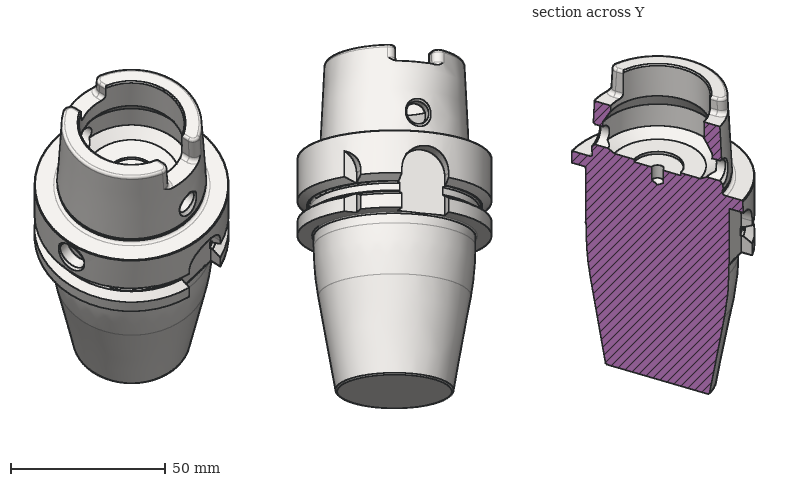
import cadquery as cq
import math

shank_top_z = 31.9
flange_bottom_z = -26.2
tip_z = -79.0

shank_base_radius = 24.2
shank_base_z = 2.05
shank_taper = 1 / 20
shank_rim_round = 1.0
relief_radius = 23.95
relief_top_z = 1.4
relief_bottom_z = 0.7
relief_mouth_radius = 25.3

flange_radius = 31.5
flange_top_chamfer = 0.25
groove_root_radius = 27.5
groove_center_z = -18.0
groove_mouth_half_width = 3.5
groove_flank_angle = 30.0
groove_root_half_width = 1.75
groove_root_round = 0.55

neck_radius = 26.25
neck_round = 0.5
bend_start_z = -29.8
bend_radius = 97.0
nose_taper_angle = 10.0
tip_chamfer = 0.5

bore_radius = 17.05
bore_lip_z = 19.7
clamp_recess_radius = 20.0
clamp_shoulder_angle = 30.0
clamp_recess_bottom_z = 6.2
bore_floor_radius = 15.75
bore_floor_cone_angle = 30.0
bore_rim_chamfer = 0.5
recess_radius = 8.5
recess_depth = 1.0
center_hole_radius = 2.05
center_hole_depth = 5.0
drill_point_angle = 118.0

drive_slot_half_width = 6.25
drive_slot_end_round = 2.4
drive_slot_floor_round = 1.5
drive_slot_depths = {-1: 5.8, 1: 10.0}

cross_hole_radius = 3.8
cross_hole_z = 8.9
cross_hole_sink = 0.95

keyway_radius = 8.0
keyway_center_z = -12.8
keyway_floor_x = 26.5
keyway_runout = 1.0
notch_floor_x = -20.2
notch_wall_y = 20.0

port_radius = 5.0
port_sink_y = -30.65
port_z = -6.9
port_floor_y = -26.8
port_vent_radius = 0.65
port_vent_depth = 3.0

clearance = 5.0
edge_margin = 0.1


def make_body():
    """Solid of revolution: shank, flange and nose."""
    shank_top_radius = shank_base_radius - (shank_top_z - shank_base_z) * shank_taper
    flank_height = groove_mouth_half_width - groove_root_half_width
    flank_end_radius = flange_radius - flank_height / math.tan(math.radians(groove_flank_angle))
    angle = math.radians(nose_taper_angle)

    def root_point(side, fraction):
        """Point on a groove root round, from the root cylinder (0) to the side wall (1)."""
        turn = fraction * math.pi / 2
        radius = groove_root_radius + groove_root_round * (1 - math.cos(turn))
        offset = groove_root_half_width - groove_root_round * (1 - math.sin(turn))
        return radius, groove_center_z + side * offset

    def bend_point(turn):
        """Point on the arc that leads from the neck cylinder into the nose cone."""
        radius = neck_radius - bend_radius * (1 - math.cos(turn))
        return radius, bend_start_z - bend_radius * math.sin(turn)

    bend_end_radius, bend_end_z = bend_point(angle)
    tip_radius = bend_end_radius - (bend_end_z - tip_z) * math.tan(angle)

    fillet_width = relief_mouth_radius - relief_radius
    relief_mid = (
        relief_mouth_radius - fillet_width * math.sin(math.pi / 4),
        relief_bottom_z * (1 - math.sin(math.pi / 4)),
    )
    profile = (
        cq.Workplane("XZ")
        .moveTo(0, shank_top_z)
        .lineTo(shank_top_radius, shank_top_z)
        .lineTo(shank_base_radius, shank_base_z)
        .lineTo(relief_radius, relief_top_z)
        .lineTo(relief_radius, relief_bottom_z)
        .threePointArc(relief_mid, (relief_mouth_radius, 0))
        .lineTo(flange_radius - flange_top_chamfer, 0)
        .lineTo(flange_radius, -flange_top_chamfer)
        .lineTo(flange_radius, groove_center_z + groove_mouth_half_width)
        .lineTo(flank_end_radius, groove_center_z + groove_root_half_width)
        .lineTo(*root_point(1, 1))
        .threePointArc(root_point(1, 0.5), root_point(1, 0))
        .lineTo(*root_point(-1, 0))
        .threePointArc(root_point(-1, 0.5), root_point(-1, 1))
        .lineTo(flank_end_radius, groove_center_z - groove_root_half_width)
        .lineTo(flange_radius, groove_center_z - groove_mouth_half_width)
        .lineTo(flange_radius, flange_bottom_z)
        .lineTo(neck_radius, flange_bottom_z)
        .lineTo(neck_radius, bend_start_z)
        .threePointArc(bend_point(angle / 2), (bend_end_radius, bend_end_z))
        .lineTo(tip_radius, tip_z)
        .lineTo(0, tip_z)
        .close()
    )
    body = profile.revolve(360, (0, 0, 0), (0, 1, 0))
    body = body.faces("<Z").edges().chamfer(tip_chamfer)

    neck_corner = cq.selectors.BoxSelector(
        (-neck_radius - edge_margin, -neck_radius - edge_margin, flange_bottom_z - edge_margin),
        (neck_radius + edge_margin, neck_radius + edge_margin, flange_bottom_z + edge_margin),
        boundingbox=True,
    )
    return body.edges(neck_corner).fillet(neck_round)


def make_bore():
    """Stepped cavity: entry bore, wider clamp recess, conical floor edge, floor recess and drilled hole."""
    shoulder_width = clamp_recess_radius - bore_radius
    shoulder_end_z = bore_lip_z - shoulder_width / math.tan(math.radians(clamp_shoulder_angle))
    floor_cone_width = clamp_recess_radius - bore_floor_radius
    floor_cone_drop = floor_cone_width * math.tan(math.radians(bore_floor_cone_angle))
    bore_floor_z = clamp_recess_bottom_z - floor_cone_drop
    bore_mouth_radius = bore_radius + bore_rim_chamfer
    recess_z = bore_floor_z - recess_depth
    drill_z = recess_z - center_hole_depth
    drill_point = center_hole_radius / math.tan(math.radians(drill_point_angle / 2))
    return (
        cq.Workplane("XZ")
        .moveTo(0, shank_top_z + clearance)
        .lineTo(bore_mouth_radius, shank_top_z + clearance)
        .lineTo(bore_mouth_radius, shank_top_z)
        .lineTo(bore_radius, shank_top_z - bore_rim_chamfer)
        .lineTo(bore_radius, bore_lip_z)
        .lineTo(clamp_recess_radius, shoulder_end_z)
        .lineTo(clamp_recess_radius, clamp_recess_bottom_z)
        .lineTo(bore_floor_radius, bore_floor_z)
        .lineTo(recess_radius, bore_floor_z)
        .lineTo(recess_radius, recess_z)
        .lineTo(center_hole_radius, recess_z)
        .lineTo(center_hole_radius, drill_z)
        .lineTo(0, drill_z - drill_point)
        .close()
        .revolve(360, (0, 0, 0), (0, 1, 0))
    )


def cut_drive_slot(body, side):
    """Cut the rim slot on one side of X and round its outer wall edges and floor edges."""
    depth = drive_slot_depths[side]
    floor_z = shank_top_z - depth
    wall_y = drive_slot_half_width
    slot = (
        cq.Workplane("XY", origin=(side * flange_radius / 2, 0, floor_z))
        .rect(flange_radius, 2 * wall_y)
        .extrude(depth + clearance)
    )
    outer_wall_edges = cq.selectors.BoxSelector(
        (side * bore_radius, -wall_y - edge_margin, floor_z + edge_margin),
        (side * flange_radius, wall_y + edge_margin, shank_top_z - edge_margin),
    )
    floor_edges = cq.selectors.BoxSelector(
        (side * edge_margin, -wall_y - edge_margin, floor_z - edge_margin),
        (side * (bore_radius + drive_slot_end_round), wall_y + edge_margin, floor_z + edge_margin),
    )
    return (
        body.cut(slot)
        .edges(outer_wall_edges)
        .fillet(drive_slot_end_round)
        .edges(floor_edges)
        .fillet(drive_slot_floor_round)
    )


def round_rim(body):
    """Round the whole outline of the two rim arms."""
    return body.faces(">Z").edges().fillet(shank_rim_round)


def cut_cross_hole(body):
    """Cut the hole along X through both shank walls, with a 45 degree countersink at each mouth."""
    surface_x = shank_base_radius - (cross_hole_z - shank_base_z) * shank_taper
    sink_x = surface_x - cross_hole_sink
    sink_length = 2 * cross_hole_sink
    center = cq.Vector(0, 0, cross_hole_z)
    along_x = cq.Vector(1, 0, 0)
    for side in (-1, 1):
        outward = along_x * side
        hole = cq.Solid.makeCylinder(cross_hole_radius, flange_radius, center, outward)
        sink_start = center + outward * sink_x
        mouth_radius = cross_hole_radius + sink_length
        sink = cq.Solid.makeCone(cross_hole_radius, mouth_radius, sink_length, sink_start, outward)
        body = body.cut(cq.Workplane(hole)).cut(cq.Workplane(sink))
    return body


def make_keyway(center_y, floor_x, side):
    """Flat-floored slot with a round top, open toward the nose and outward."""
    start_x = side * floor_x
    height = keyway_center_z - flange_bottom_z + keyway_runout
    plane = cq.Workplane("YZ", origin=(start_x, center_y, keyway_center_z))
    return (
        plane.moveTo(-keyway_radius, -height)
        .lineTo(-keyway_radius, 0)
        .threePointArc((0, keyway_radius), (keyway_radius, 0))
        .lineTo(keyway_radius, -height)
        .close()
        .extrude(side * (flange_radius - floor_x + clearance))
    )


def make_port():
    """Countersunk blind port along Y with a small vent hole in its floor."""
    outer_y = -flange_radius - clearance
    outer_radius = port_radius + port_sink_y - outer_y
    vent_y = port_floor_y + port_vent_depth
    return (
        cq.Workplane("XY")
        .moveTo(0, outer_y)
        .lineTo(outer_radius, outer_y)
        .lineTo(port_radius, port_sink_y)
        .lineTo(port_radius, port_floor_y)
        .lineTo(port_vent_radius, port_floor_y)
        .lineTo(port_vent_radius, vent_y)
        .lineTo(0, vent_y)
        .close()
        .revolve(360, (0, 0, 0), (0, 1, 0))
        .translate((0, 0, port_z))
    )


result = make_body()
for side in (-1, 1):
    result = cut_drive_slot(result, side)
result = round_rim(result)
result = result.cut(make_bore())
result = cut_cross_hole(result)
for side in (-1, 1):
    result = result.cut(make_keyway(0, keyway_floor_x, side))
result = result.cut(make_keyway(notch_wall_y + keyway_radius, -notch_floor_x, -1))
result = result.cut(make_port())